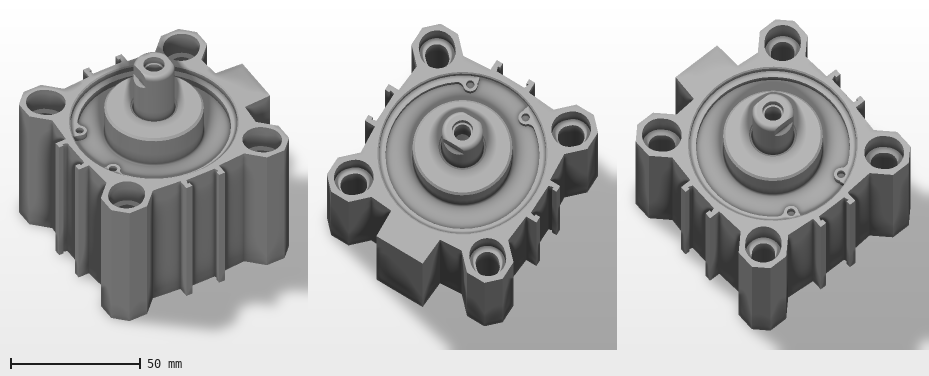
import cadquery as cq
import math


HOUSING_TOP = 57.0
BOSS_TOP = 65.2
ROD_TOP = 87.0

CORNER_REACH = 40.0
LUG_OUTER = 34.9
LUG_INNER = 27.0
LUG_ROOT = 33.6
LUG_ROOT_SIDE = LUG_INNER - (CORNER_REACH - LUG_ROOT)
WALL_REACH = 34.45
PORT_REACH = 46.0
PORT_HALF_TIP = 10.5
PORT_HALF_ROOT = 11.1

RAIL_REACH = 39.1
RAIL_OUTER = 8.7
HOOK_INNER = 6.0
HOOK_UNDERSIDE = 37.1
NOTCH_TOP = 7.0
NOTCH_BOTTOM = 6.35
SLOT_FLOOR = 35.15

BOLT_INNER = 30.0
BOLT_OUTER = 31.0
BOLT_D = 9.05
BOLT_HEAD_D = 14.0
BOLT_HEAD_DEPTH = 10.0

BORE_D = 64.7
BORE_CHAMFER = 0.5
GROOVE_D = 68.2
RING_TOP = 54.3
RING_THICKNESS = 2.6
RING_INNER_D = 59.5
EAR_X = 12.6
EAR_Y = -25.9
EAR_R = 2.8
EAR_HOLE_D = 3.2
EAR_FILLET = 2.6
END_TILT = 17.0

COVER_TOP = RING_TOP - RING_THICKNESS
COVER_THICKNESS = 12.2
COVER_BOTTOM = COVER_TOP - COVER_THICKNESS
BOSS_D = 38.5
BOSS_CHAMFER = 0.9
BOSS_FILLET = 0.7
ROD_GUIDE_D = 16.5
LEAD_IN_D = 17.05
RECESS_FLOOR_D = 17.7
RECESS_DEPTH = 0.39

ROD_D = 16.0
ROD_FILLET = 1.7
FLAT_HALF = 6.5
FLAT_LENGTH = 5.5
ROD_HOLE_D = 6.6
ROD_HOLE_MOUTH_D = 8.3
ROD_HOLE_MOUTH_DEPTH = 3.05
ROD_HOLE_DEPTH = 15.7
ROD_HOLE_TIP = 1.9


def disc(diameter, bottom, top):
    return cq.Workplane("XY").workplane(offset=bottom).circle(diameter / 2).extrude(top - bottom)


def revolved(profile):
    """The solid swept by a closed (radius, height) profile about the Z axis."""
    return cq.Workplane("XZ").polyline(profile).close().revolve(360, (0, 0), (0, 1))


def corner_lug(sx, sy):
    points = [
        (0, 0),
        (LUG_ROOT, LUG_ROOT_SIDE),
        (CORNER_REACH, LUG_INNER),
        (CORNER_REACH, LUG_OUTER),
        (LUG_OUTER, CORNER_REACH),
        (LUG_INNER, CORNER_REACH),
        (LUG_ROOT_SIDE, LUG_ROOT),
    ]
    mirrored = [(sx * x, sy * y) for x, y in points]
    return cq.Workplane("XY").polyline(mirrored).close().extrude(HOUSING_TOP)


def side_wall(angle):
    """A slightly crowned side that joins two corner lugs."""
    points = [
        (0, 0),
        (LUG_ROOT, -LUG_ROOT_SIDE),
        (WALL_REACH, -RAIL_OUTER),
        (WALL_REACH, RAIL_OUTER),
        (LUG_ROOT, LUG_ROOT_SIDE),
    ]
    wall = cq.Workplane("XY").polyline(points).close().extrude(HOUSING_TOP)
    return wall.rotate((0, 0, 0), (0, 0, 1), angle)


def sensor_slot(angle):
    """A pair of hooked rails with the raised slot floor between them, first built on the +X side."""
    half = [
        (SLOT_FLOOR, NOTCH_BOTTOM),
        (HOOK_UNDERSIDE, NOTCH_TOP),
        (HOOK_UNDERSIDE, HOOK_INNER),
        (RAIL_REACH, HOOK_INNER),
        (RAIL_REACH, RAIL_OUTER),
        (LUG_ROOT, RAIL_OUTER),
    ]
    other_half = [(x, -y) for x, y in reversed(half)]
    slot = cq.Workplane("XY").polyline(half + other_half).close().extrude(HOUSING_TOP)
    return slot.rotate((0, 0, 0), (0, 0, 1), angle)


def port_block():
    points = [
        (-PORT_HALF_ROOT, LUG_ROOT),
        (-PORT_HALF_TIP, PORT_REACH),
        (PORT_HALF_TIP, PORT_REACH),
        (PORT_HALF_ROOT, LUG_ROOT),
    ]
    return cq.Workplane("XY").polyline(points).close().extrude(HOUSING_TOP)


def bolt_slot(diameter, bottom, top, angle):
    """A cutter for one corner hole, stretched along the corner diagonal at the given angle."""
    stretch = (BOLT_OUTER - BOLT_INNER) * math.sqrt(2)
    middle = (BOLT_OUTER + BOLT_INNER) / math.sqrt(2)
    cutter = (
        cq.Workplane("XY").workplane(offset=bottom).center(middle, 0)
        .slot2D(stretch + diameter, diameter).extrude(top - bottom)
    )
    return cutter.rotate((0, 0, 0), (0, 0, 1), angle)


def make_housing():
    body = port_block()
    for angle in (0, 90, 180, 270):
        body = body.union(side_wall(angle))
    for sx in (-1, 1):
        for sy in (-1, 1):
            body = body.union(corner_lug(sx, sy))
    for angle in (0, 180, 270):
        body = body.union(sensor_slot(angle))
    for angle in (45, 135, 225, 315):
        body = body.cut(bolt_slot(BOLT_D, 0, HOUSING_TOP, angle))
        body = body.cut(bolt_slot(BOLT_HEAD_D, HOUSING_TOP - BOLT_HEAD_DEPTH, HOUSING_TOP, angle))
    body = body.cut(disc(BORE_D, COVER_BOTTOM, HOUSING_TOP))
    bore_mouth = cq.selectors.RadiusNthSelector(-1)
    body = body.faces(">Z").edges("%CIRCLE").edges(bore_mouth).chamfer(BORE_CHAMFER)
    return body.cut(disc(GROOVE_D, COVER_TOP, RING_TOP))


def make_retaining_ring():
    ring = disc(GROOVE_D, COVER_TOP, RING_TOP).cut(disc(RING_INNER_D, COVER_TOP, RING_TOP))

    tilt = math.radians(END_TILT)
    tangent_x = EAR_X - EAR_R * math.cos(tilt)
    tangent_y = EAR_Y - EAR_R * math.sin(tilt)
    end_y = -GROOVE_D
    end_x = tangent_x + (tangent_y - end_y) * math.tan(tilt)
    gap = (
        cq.Workplane("XY").workplane(offset=COVER_TOP)
        .polyline([(-tangent_x, tangent_y), (tangent_x, tangent_y), (end_x, end_y), (-end_x, end_y)])
        .close().extrude(RING_THICKNESS)
    )
    ring = ring.cut(gap)

    for side in (-1, 1):
        ear = disc(2 * EAR_R, COVER_TOP, RING_TOP).translate((side * EAR_X, EAR_Y, 0))
        ring = ring.union(ear)

    inner_r = RING_INNER_D / 2
    ear_distance = math.hypot(EAR_X, EAR_Y)
    spread = math.acos((inner_r**2 + ear_distance**2 - EAR_R**2) / (2 * inner_r * ear_distance))
    meeting_angle = math.atan2(EAR_Y, EAR_X) + spread
    meeting_x = inner_r * math.cos(meeting_angle)
    meeting_y = inner_r * math.sin(meeting_angle)
    middle_z = COVER_TOP + RING_THICKNESS / 2
    for side in (-1, 1):
        corner = cq.selectors.NearestToPointSelector((side * meeting_x, meeting_y, middle_z))
        ring = ring.edges("|Z").edges(corner).fillet(EAR_FILLET)

    for side in (-1, 1):
        hole = disc(EAR_HOLE_D, COVER_TOP, RING_TOP).translate((side * EAR_X, EAR_Y, 0))
        ring = ring.cut(hole)
    return ring


def make_cover():
    boss = disc(BOSS_D, COVER_BOTTOM, BOSS_TOP).faces(">Z").chamfer(BOSS_CHAMFER)
    cover = disc(BORE_D, COVER_BOTTOM, COVER_TOP).union(boss)
    boss_root = cq.selectors.RadiusNthSelector(0)
    cover = cover.faces("<Z[-2]").edges("%CIRCLE").edges(boss_root).fillet(BOSS_FILLET)

    ledge_z = BOSS_TOP - RECESS_DEPTH
    lead_in = (LEAD_IN_D - ROD_GUIDE_D) / 2
    profile = [
        (0, BOSS_TOP),
        (RECESS_FLOOR_D / 2 + RECESS_DEPTH, BOSS_TOP),
        (RECESS_FLOOR_D / 2, ledge_z),
        (LEAD_IN_D / 2, ledge_z),
        (ROD_GUIDE_D / 2, ledge_z - lead_in),
        (ROD_GUIDE_D / 2, COVER_BOTTOM),
        (0, COVER_BOTTOM),
    ]
    return cover.cut(revolved(profile))


def make_rod():
    rod = disc(ROD_D, COVER_BOTTOM, ROD_TOP).faces(">Z").edges().fillet(ROD_FILLET)

    run_out = ROD_D / 2 - FLAT_HALF
    flat_bottom = ROD_TOP - FLAT_LENGTH
    for side in (-1, 1):
        outline = [
            (side * FLAT_HALF, ROD_TOP),
            (side * FLAT_HALF, flat_bottom),
            (side * (FLAT_HALF + run_out), flat_bottom - run_out),
            (side * (FLAT_HALF + run_out), ROD_TOP),
        ]
        rod = rod.cut(cq.Workplane("YZ").polyline(outline).close().extrude(ROD_D / 2, both=True))

    hole_bottom = ROD_TOP - ROD_HOLE_DEPTH
    profile = [
        (0, ROD_TOP),
        (ROD_HOLE_MOUTH_D / 2, ROD_TOP),
        (ROD_HOLE_MOUTH_D / 2, ROD_TOP - ROD_HOLE_MOUTH_DEPTH),
        (ROD_HOLE_D / 2, ROD_TOP - ROD_HOLE_MOUTH_DEPTH),
        (ROD_HOLE_D / 2, hole_bottom),
        (0, hole_bottom - ROD_HOLE_TIP),
    ]
    return rod.cut(revolved(profile))


housing = make_housing()
retaining_ring = make_retaining_ring()
cover = make_cover()
rod = make_rod()
result = cq.Compound.makeCompound([housing.val(), retaining_ring.val(), cover.val(), rod.val()])